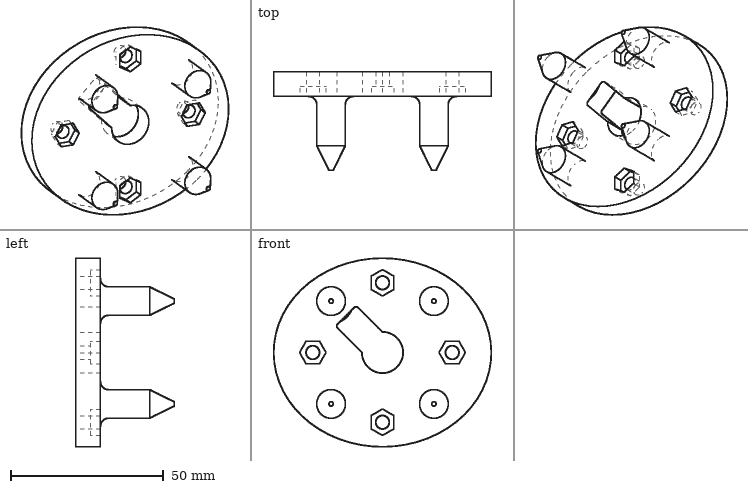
import cadquery as cq
import math

plate_width = 71.25
plate_height = 61.8
plate_thickness = 8.1

pin_offset = 16.8
pin_radius = 4.7
pin_base_fillet = 2.65
pin_length = 24.15
pin_tip_length = 8.05
pin_tip_radius = 0.7

screw_offset = 22.8
screw_hole_diameter = 4.35
nut_across_flats = 7.5
nut_pocket_depth = 3.3

keyhole_radius = 6.7
slot_width = keyhole_radius * math.sqrt(2)
slot_length = 16.95
slot_corner_radius = 1.0
slot_angle = 135


def make_plate():
    return cq.Workplane("XZ").ellipse(plate_width / 2, plate_height / 2).extrude(-plate_thickness)


def make_keyhole():
    hole = cq.Workplane("XZ").circle(keyhole_radius).extrude(-plate_thickness)
    slot = (
        cq.Workplane("XZ")
        .center(slot_length / 2, 0)
        .rect(slot_length, slot_width)
        .extrude(-plate_thickness)
        .edges("|Y and >X")
        .fillet(slot_corner_radius)
        .rotate((0, 0, 0), (0, -1, 0), slot_angle)
    )
    return hole.union(slot)


def make_screw_hole(angle):
    """Through hole and nut pocket, with two corners of the hexagon on the radial line."""
    across_corners = nut_across_flats / math.cos(math.radians(30))
    centre = cq.Workplane("XZ").center(screw_offset, 0)
    hole = centre.circle(screw_hole_diameter / 2).extrude(-plate_thickness)
    pocket = (
        cq.Workplane("XZ")
        .center(screw_offset, 0)
        .polygon(6, across_corners)
        .extrude(-nut_pocket_depth)
    )
    return hole.union(pocket).rotate((0, 0, 0), (0, -1, 0), angle)


def make_pin(x, z):
    """Pin along -Y with a concave base flare and a blunt conical tip."""
    flare_radius = pin_radius + pin_base_fillet
    arc_reach = pin_base_fillet * (1 - math.sqrt(0.5))
    return (
        cq.Workplane("XY")
        .moveTo(0, 0)
        .lineTo(flare_radius, 0)
        .threePointArc((pin_radius + arc_reach, -arc_reach), (pin_radius, -pin_base_fillet))
        .lineTo(pin_radius, pin_tip_length - pin_length)
        .lineTo(pin_tip_radius, -pin_length)
        .lineTo(0, -pin_length)
        .close()
        .revolve(360, (0, 0, 0), (0, 1, 0))
        .translate((x, 0, z))
    )


result = make_plate().cut(make_keyhole())

for quarter_turn in range(4):
    result = result.cut(make_screw_hole(90 * quarter_turn))

for x in (-pin_offset, pin_offset):
    for z in (-pin_offset, pin_offset):
        result = result.union(make_pin(x, z))